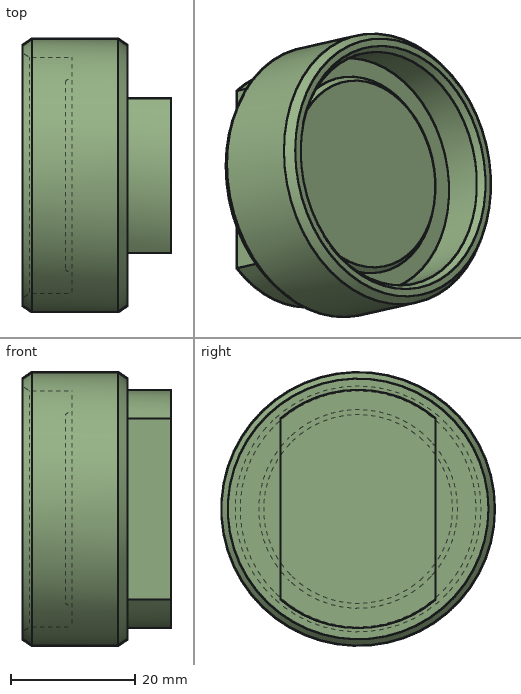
import cadquery as cq

body_radius = 22.05
body_length = 17.0
rim_chamfer_axial = 1.55
rim_chamfer_radial = 1.05

bore_radius = 19.0
bore_depth = 8.0
mouth_radius = 19.8
mouth_depth = 1.2

pad_base_radius = 16.0
pad_top_radius = 15.2
pad_height = 1.0

total_length = 24.0
boss_radius = 19.2
boss_width_across_flats = 24.95
boss_length = total_length - body_length


def make_cap():
    """Revolve the half section of the body, its bore and its raised pad about X."""
    rim_radius = body_radius - rim_chamfer_radial
    pad_top = bore_depth - pad_height
    half_section = (
        cq.Workplane("XY")
        .moveTo(pad_top, 0)
        .lineTo(pad_top, pad_top_radius)
        .lineTo(bore_depth, pad_base_radius)
        .lineTo(bore_depth, bore_radius)
        .lineTo(mouth_depth, bore_radius)
        .lineTo(0, mouth_radius)
        .lineTo(0, rim_radius)
        .lineTo(rim_chamfer_axial, body_radius)
        .lineTo(body_length - rim_chamfer_axial, body_radius)
        .lineTo(body_length, rim_radius)
        .lineTo(body_length, 0)
        .close()
    )
    return half_section.revolve(360, (0, 0, 0), (1, 0, 0))


def make_boss():
    """Round boss trimmed to its width across flats."""
    boss_plane = cq.Workplane("YZ").workplane(offset=body_length)
    cylinder = boss_plane.circle(boss_radius).extrude(boss_length)
    flats = boss_plane.rect(boss_width_across_flats, 2 * boss_radius).extrude(boss_length)
    return cylinder.intersect(flats)


result = make_cap().union(make_boss())